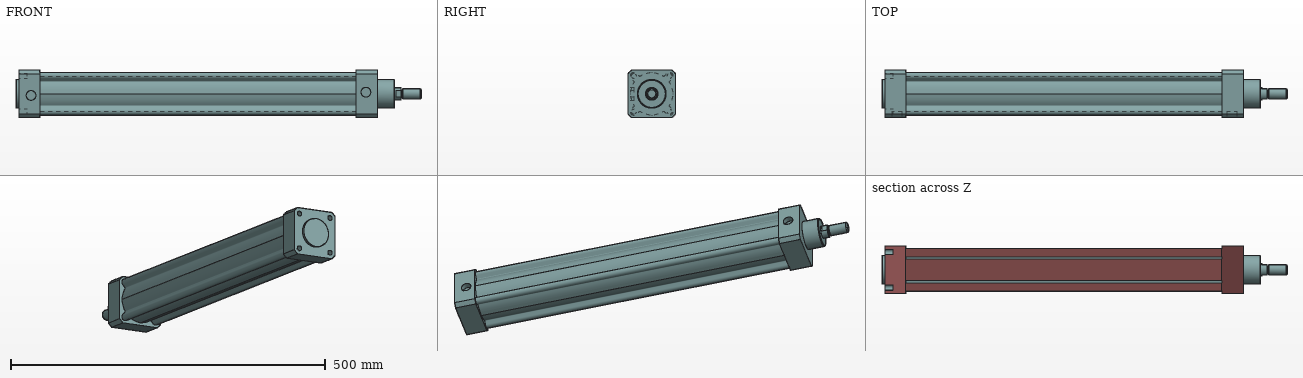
import cadquery as cq
import math

total_length = 644.0
rear_boss_length = 4.5
rear_cap_length = 33.5
tube_end = 539.5
front_cap_length = 35.0
nose_length = 27.0
flats_start = 603.5
rod_shoulder = 612.0
neck_length = 1.0

rear_cap_end = rear_boss_length + rear_cap_length
front_cap_end = tube_end + front_cap_length
nose_end = front_cap_end + nose_length

cap_size = 76.0
cap_corner_radius = 49.5
nose_diameter = 46.0
nose_radius = nose_diameter / 2
nose_chamfer = 1.0
port_radius = 8.0
port_depth = 9.5
port_offset = 2.5
rear_port_x = 24.0
front_port_x = 556.0
bolt_offset = 28.5
bolt_hole_radius = 4.0
bolt_hole_depth = 13.0

barrel_radius = 33.5
rib_radius = 6.0
rib_foot_fillet = 1.0
ridge_half_width = 6.5
tolerance = 0.05

rod_diameter = 20.0
rod_radius = rod_diameter / 2
flat_half_width = 8.5
thread_radius = 8.5
thread_chamfer = 2.0


def x_cylinder(radius, start, end, y=0, z=0):
    """Cylinder parallel to X between two stations."""
    return cq.Workplane("YZ", origin=(start, y, z)).circle(radius).extrude(end - start)


def cap_block(start, end):
    """Square block with its four long corners turned to a radius about the axis."""
    length = end - start
    block = cq.Workplane("YZ", origin=(start, 0, 0)).rect(cap_size, cap_size).extrude(length)
    return block.intersect(x_cylinder(cap_corner_radius, start, end))


def port(x, z):
    """Blind round port cut into the -Y side of a cap."""
    return cq.Workplane("XZ", origin=(x, -cap_size / 2, z)).circle(port_radius).extrude(-port_depth)


def make_rear_cap():
    """Cap with a low round boss on its outer face, one port and four blind bolt holes."""
    cap = cap_block(rear_boss_length, rear_cap_end)
    cap = cap.union(x_cylinder(nose_radius, 0, rear_boss_length))
    cap = cap.cut(port(rear_port_x, -port_offset))
    hole_end = rear_boss_length + bolt_hole_depth
    for y in (-bolt_offset, bolt_offset):
        for z in (-bolt_offset, bolt_offset):
            cap = cap.cut(x_cylinder(bolt_hole_radius, rear_boss_length, hole_end, y, z))
    return cap


def make_front_cap():
    """Cap with a round nose on its outer face and one port."""
    cap = cap_block(tube_end, front_cap_end)
    nose = x_cylinder(nose_radius, front_cap_end, nose_end)
    cap = cap.union(nose.faces(">X").chamfer(nose_chamfer))
    return cap.cut(port(front_port_x, port_offset))


def barrel_with_ribs():
    """Round barrel with a straight-sided, round-ended rib toward each corner, filleted at its foot."""
    length = tube_end - rear_cap_end
    tube = x_cylinder(barrel_radius, rear_cap_end, tube_end)
    rib_reach = math.hypot(bolt_offset, bolt_offset)
    rib_pair_length = 2 * (rib_reach + rib_radius)
    for angle in (45, 135):
        rib_pair = (
            cq.Workplane("YZ", origin=(rear_cap_end, 0, 0))
            .slot2D(rib_pair_length, 2 * rib_radius, angle)
            .extrude(length)
        )
        tube = tube.union(rib_pair)

    def is_rib_foot(edge):
        middle = edge.Center()
        return abs(math.hypot(middle.y, middle.z) - barrel_radius) < tolerance

    return tube.edges("|X").filter(is_rib_foot).fillet(rib_foot_fillet)


def make_tube():
    """Ribbed barrel with a low roof-shaped ridge along the middle of each side."""
    length = tube_end - rear_cap_end
    ridge_foot = math.sqrt(barrel_radius**2 - ridge_half_width**2)
    ridge_peak = barrel_radius**2 / ridge_foot
    ridge = (
        cq.Workplane("YZ", origin=(rear_cap_end, 0, 0))
        .polyline([(0, 0), (ridge_half_width, ridge_foot), (0, ridge_peak), (-ridge_half_width, ridge_foot)])
        .close()
        .extrude(length)
    )
    tube = barrel_with_ribs()
    for angle in (0, 90, 180, 270):
        tube = tube.union(ridge.rotate((0, 0, 0), (1, 0, 0), angle))
    return tube


def wrench_section():
    """Length of rod with two flats, facing -Y and +Y."""
    length = rod_shoulder - flats_start
    flats = (
        cq.Workplane("YZ", origin=(flats_start, 0, 0))
        .rect(2 * flat_half_width, 2 * rod_radius)
        .extrude(length)
    )
    return x_cylinder(rod_radius, flats_start, rod_shoulder).intersect(flats)


def make_rod():
    """Rod end standing on the nose: round collar, wrench flats, short neck and threaded stud."""
    rod = x_cylinder(rod_radius, nose_end, flats_start)
    rod = rod.union(wrench_section())
    thread_start = rod_shoulder + neck_length
    rod = rod.union(x_cylinder(thread_radius - thread_chamfer, rod_shoulder, thread_start))
    thread = x_cylinder(thread_radius, thread_start, total_length)
    return rod.union(thread.edges("%CIRCLE").chamfer(thread_chamfer))


result = cq.Compound.makeCompound([
    make_rear_cap().val(),
    make_tube().val(),
    make_front_cap().val(),
    make_rod().val(),
])